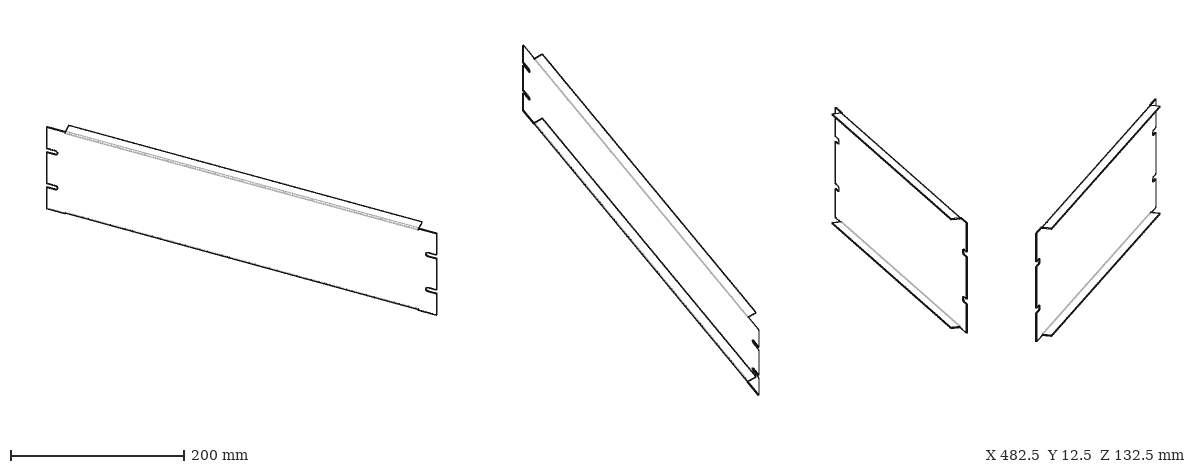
import cadquery as cq

panel_length = 482.5
panel_height = 132.5
panel_depth = 12.5
sheet = 1.5

flange_length = 437.5
bend_outer_radius = 2.0
bend_inner_radius = bend_outer_radius - sheet

slot_width = 6.5
slot_depth = 13.5
slot_spacing = 57.0

front_y = -panel_depth / 2
back_y = front_y + panel_depth


def make_plate():
    """Flat face plate with its front on the -Y side."""
    return cq.Workplane("XY").box(panel_length, sheet, panel_height).translate((0, front_y + sheet / 2, 0))


def make_channel():
    """Web and both flanges, with rounded bends at the two front corners."""
    channel = (
        cq.Workplane("XY")
        .box(flange_length, panel_depth, panel_height)
        .edges("|X and <Y")
        .fillet(bend_outer_radius)
    )
    inner_depth = panel_depth - sheet
    cavity = (
        cq.Workplane("XY")
        .box(flange_length, inner_depth, panel_height - 2 * sheet)
        .translate((0, back_y - inner_depth / 2, 0))
        .edges("|X and <Y")
        .fillet(bend_inner_radius)
    )
    return channel.cut(cavity)


def make_ears():
    """Flat end portions of the plate, beyond the flanges."""
    middle = cq.Workplane("XY").box(flange_length, panel_depth, panel_height)
    return make_plate().cut(middle)


def make_slot(side, z):
    """Round-bottomed slot opening through one end; side is -1 or +1 along X."""
    end_x = side * panel_length / 2
    round_x = end_x - side * (slot_depth - slot_width / 2)
    straight = (
        cq.Workplane("XY")
        .box(abs(end_x - round_x), panel_depth, slot_width)
        .translate(((end_x + round_x) / 2, 0, z))
    )
    round_end = (
        cq.Workplane("XZ")
        .center(round_x, z)
        .circle(slot_width / 2)
        .extrude(panel_depth / 2, both=True)
    )
    return straight.union(round_end)


result = make_channel().union(make_ears())
for side in (-1, 1):
    for z in (-slot_spacing / 2, slot_spacing / 2):
        result = result.cut(make_slot(side, z))